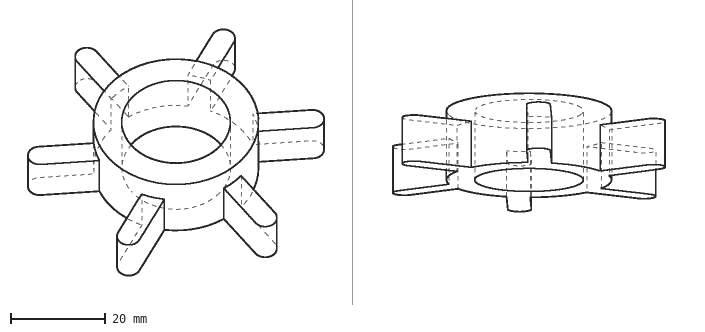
import cadquery as cq

hub_diameter = 35.0
bore_diameter = 23.02
hub_height = 15.0

blade_count = 6
blade_thickness = 5.0
blade_height = 10.0
blade_reach = 31.725
blade_offset = 2.65

hub_radius = hub_diameter / 2
bore_radius = bore_diameter / 2
tip_radius = blade_thickness / 2
blade_root = (hub_radius + bore_radius) / 2


def make_hub():
    return cq.Workplane("XY").circle(hub_radius).circle(bore_radius).extrude(hub_height)


def make_blade(angle):
    """Straight blade with a rounded tip, pointing along +Y before it is turned about Z."""
    left = -blade_offset - tip_radius
    right = -blade_offset + tip_radius
    tip_centre = blade_reach - tip_radius
    blade = (
        cq.Workplane("XY")
        .moveTo(right, blade_root)
        .lineTo(right, tip_centre)
        .threePointArc((-blade_offset, blade_reach), (left, tip_centre))
        .lineTo(left, blade_root)
        .close()
        .extrude(blade_height)
    )
    return blade.rotate((0, 0, 0), (0, 0, 1), angle)


result = make_hub()
for index in range(blade_count):
    result = result.union(make_blade(index * 360.0 / blade_count))